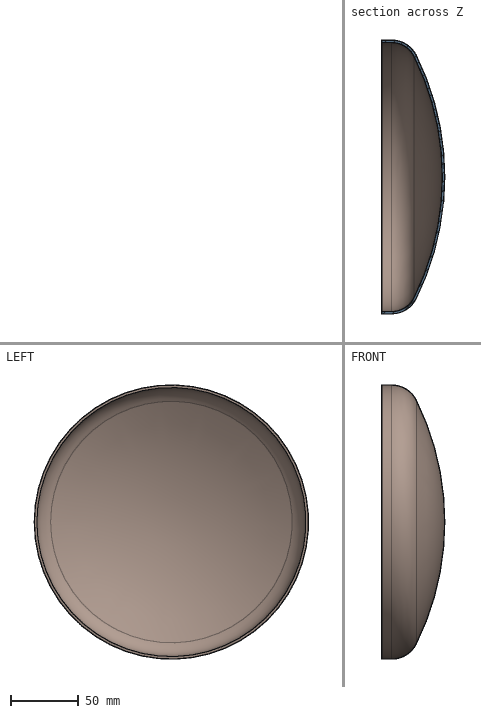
import cadquery as cq
import math

outer_diameter = 204.0
wall = 2.0
flange_length = 7.5
crown_radius = outer_diameter
knuckle_radius = outer_diameter / 10


def head_profile(rim_radius, crown, knuckle):
    """Half section of a solid head in the XY plane, between the X axis and the skin."""
    knuckle_center_y = rim_radius - knuckle
    center_distance = crown - knuckle
    join_angle = math.asin(knuckle_center_y / center_distance)
    crown_center_x = flange_length - center_distance * math.cos(join_angle)

    def on_knuckle(angle):
        return (
            flange_length + knuckle * math.cos(angle),
            knuckle_center_y + knuckle * math.sin(angle),
        )

    def on_crown(angle):
        return (
            crown_center_x + crown * math.cos(angle),
            crown * math.sin(angle),
        )

    knuckle_middle = on_knuckle((join_angle + math.pi / 2) / 2)
    join_point = on_knuckle(join_angle)
    return (
        cq.Workplane("XY")
        .lineTo(0, rim_radius)
        .lineTo(flange_length, rim_radius)
        .threePointArc(knuckle_middle, join_point)
        .threePointArc(on_crown(join_angle / 2), on_crown(0))
        .close()
    )


def solid_head(inset):
    """Solid head whose skin lies the given distance inside the outer skin."""
    profile = head_profile(
        outer_diameter / 2 - inset,
        crown_radius - inset,
        knuckle_radius - inset,
    )
    return profile.revolve(360, (0, 0, 0), (1, 0, 0))


result = solid_head(0).cut(solid_head(wall))